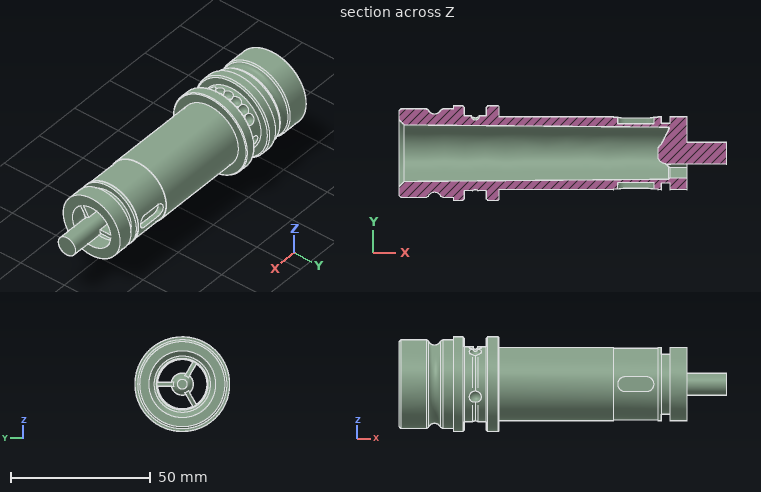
import cadquery as cq
import math

length = 117.1
nose_end = 9.8
nose_chamfer = 0.7
throat_start = 10.5
throat_end = 14.9
shoulder_start = 15.8
front_collar_start = 19.5
front_collar_end = 23.4
rear_collar_start = 31.2
rear_collar_end = 35.8
sleeve_start = 76.7
ring_start = 92.5
ring_end = 93.8
cap_start = 96.9
cap_end = 103.1

nose_radius = 15.9
throat_edge_radius = 15.5
throat_radius = 14.0
collar_radius = 17.0
collar_chamfer = 0.6
rear_edge_chamfer = 0.4
neck_radius = 13.5
barrel_radius = 13.1
sleeve_radius = 12.9
clip_groove_radius = 10.8
shaft_radius = 4.0

mouth_radius = 12.0
bore_radius = 10.1
mouth_chamfer = mouth_radius - bore_radius
taper_end_radius = 9.3
exit_radius = 8.8
exit_bevel = taper_end_radius - exit_radius
exit_start = cap_start

neck_middle = (front_collar_end + rear_collar_start) / 2
v_groove_half_width = 1.0
v_groove_depth = 0.4
dimple_radius = 4.3 / 2
dimple_pitch_angle = 17.4
dimple_row_start = -30.0
dimple_row_count = 6
groove_start_angle = 97.0
single_dimple_angles = (-110.0, groove_start_angle)
groove_span_angle = 360 + dimple_row_start - groove_start_angle

slot_start = 78.2
slot_end = 91.1
slot_width = 5.4
slot_floor = 10.5

shaft_nose_start = 92.5
shaft_tip_radius = 1.8
spoke_count = 3
spoke_thickness = 1.5
spoke_root_start = shaft_nose_start + 0.5
spoke_root_radius = shaft_tip_radius
spoke_outer_radius = 9.4


def body_of_revolution():
    """Hollow turned body: nose, throat, collars, neck, barrel, sleeve and cap."""
    throat_middle = (throat_start + throat_end) / 2
    profile = (
        cq.Workplane("XY")
        .moveTo(0, mouth_radius)
        .lineTo(0, nose_radius - nose_chamfer)
        .lineTo(nose_chamfer, nose_radius)
        .lineTo(nose_end, nose_radius)
        .lineTo(throat_start, throat_edge_radius)
        .threePointArc((throat_middle, throat_radius), (throat_end, throat_edge_radius))
        .lineTo(shoulder_start, nose_radius)
        .lineTo(front_collar_start, nose_radius)
        .lineTo(front_collar_start, collar_radius)
        .lineTo(front_collar_end - collar_chamfer, collar_radius)
        .lineTo(front_collar_end, collar_radius - collar_chamfer)
        .lineTo(front_collar_end, neck_radius)
        .lineTo(rear_collar_start, neck_radius)
        .lineTo(rear_collar_start, collar_radius - collar_chamfer)
        .lineTo(rear_collar_start + collar_chamfer, collar_radius)
        .lineTo(rear_collar_end - rear_edge_chamfer, collar_radius)
        .lineTo(rear_collar_end, collar_radius - rear_edge_chamfer)
        .lineTo(rear_collar_end, barrel_radius)
        .lineTo(sleeve_start, barrel_radius)
        .lineTo(sleeve_start, sleeve_radius)
        .lineTo(ring_start, sleeve_radius)
        .lineTo(ring_start, barrel_radius)
        .lineTo(ring_end, barrel_radius)
        .lineTo(ring_end, clip_groove_radius)
        .lineTo(cap_start, clip_groove_radius)
        .lineTo(cap_start, barrel_radius)
        .lineTo(cap_end, barrel_radius)
        .lineTo(cap_end, exit_radius)
        .lineTo(exit_start, exit_radius)
        .lineTo(exit_start - exit_bevel, taper_end_radius)
        .lineTo(mouth_chamfer, bore_radius)
        .close()
    )
    return profile.revolve(360, (0, 0, 0), (1, 0, 0))


def neck_groove():
    """V-groove cutter running under the neck from one dimple to the dimple row."""
    groove = (
        cq.Workplane("XY")
        .moveTo(neck_middle - v_groove_half_width, neck_radius)
        .lineTo(neck_middle, neck_radius - v_groove_depth)
        .lineTo(neck_middle + v_groove_half_width, neck_radius)
        .close()
        .revolve(groove_span_angle, (0, 0, 0), (-1, 0, 0))
    )
    return groove.rotate((0, 0, 0), (1, 0, 0), 90 - groove_start_angle)


def dimple(angle):
    """Ball centred on the neck surface, at an angle from +Z toward +Y."""
    y = neck_radius * math.sin(math.radians(angle))
    z = neck_radius * math.cos(math.radians(angle))
    return cq.Workplane("XY").sphere(dimple_radius).translate((neck_middle, y, z))


def slot(side):
    """Cutter for a round-ended slot on the +Y (side = 1) or -Y (side = -1) face."""
    cutter = (
        cq.Workplane("XZ")
        .center((slot_start + slot_end) / 2, 0)
        .slot2D(slot_end - slot_start, slot_width)
        .extrude(-side * (barrel_radius - slot_floor))
    )
    return cutter.translate((0, side * slot_floor, 0))


def shaft():
    """Output shaft with a rounded, blunt nose inside the bore."""
    tip_length = math.sqrt(shaft_radius**2 - shaft_tip_radius**2)
    shaft_start = shaft_nose_start + tip_length
    arc_middle = math.radians(60)
    return (
        cq.Workplane("XY")
        .moveTo(shaft_nose_start, 0)
        .lineTo(shaft_nose_start, shaft_tip_radius)
        .threePointArc(
            (shaft_start - shaft_radius * math.cos(arc_middle), shaft_radius * math.sin(arc_middle)),
            (shaft_start, shaft_radius),
        )
        .lineTo(length, shaft_radius)
        .lineTo(length, 0)
        .close()
        .revolve(360, (0, 0, 0), (1, 0, 0))
    )


def spoke(angle):
    """Fin from the shaft to the cap wall, at an angle from +Y; its front edge slopes back outward."""
    fin = (
        cq.Workplane("XY")
        .moveTo(spoke_root_start, spoke_root_radius)
        .lineTo(cap_start, spoke_outer_radius)
        .lineTo(cap_end, spoke_outer_radius)
        .lineTo(cap_end, spoke_root_radius)
        .close()
        .extrude(spoke_thickness / 2, both=True)
    )
    return fin.rotate((0, 0, 0), (1, 0, 0), angle)


result = body_of_revolution().cut(neck_groove())

for index in range(dimple_row_count):
    result = result.cut(dimple(dimple_row_start + index * dimple_pitch_angle))
for angle in single_dimple_angles:
    result = result.cut(dimple(angle))

for side in (1, -1):
    result = result.cut(slot(side))

result = result.union(shaft())
for index in range(spoke_count):
    result = result.union(spoke(index * 360 / spoke_count))